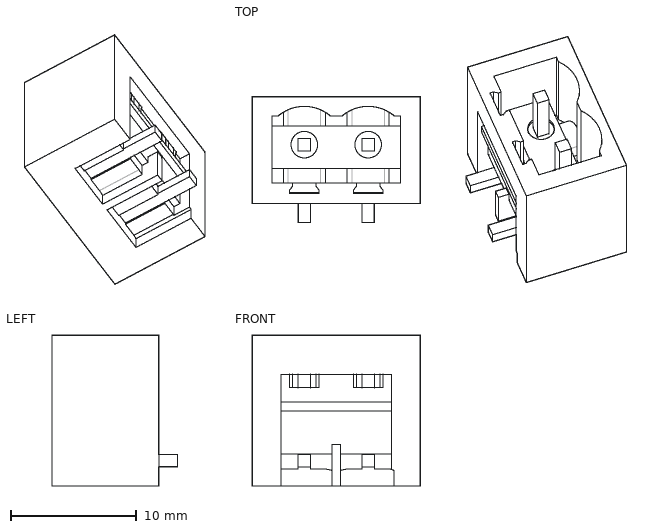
import cadquery as cq
import math


width = 13.36
depth = 8.51
height = 12.0

pitch = 5.08
pin_size = 1.0
pin_y = 4.69
pin_top = 11.09
pin_bottom = 1.52
overall_depth = 10.0
pin_reach = overall_depth - depth
pin_centers = [-pitch / 2, pitch / 2]

cavity_width = 10.22
cavity_front = 1.65
cavity_back = 6.96
scallop_radius = 3.19
scallop_back = 7.74
block_front = 2.79
block_back = 6.19
block_top = 6.68
trough_floor = 4.01

recess_radius = 1.05
recess_depth = 0.27

ridge_radius = 1.52
ridge_slope = math.radians(57)
ridge_foot_half = 1.67

slot_front = 0.8
slot_flare_front = 1.08
slot_flare_back = 1.42
slot_wide_half = 1.16
slot_neck_half = 0.92
slot_floor = 7.82

window_width = 8.75
window_top = 8.88
panel_face = 0.9
panel_bottom = 2.54
bar_bottom = 5.96
bar_top = 6.7
bar_face = 0.32
under_face = 1.47

rib_width = 0.65
rib_top = 3.31
pocket_top = 1.35
pocket_edge_drop = 0.11
pocket_slope_start = 1.75
pocket_right = 4.6
pocket_back = pin_y + pin_size / 2


def box(x0, x1, y0, y1, z0, z1):
    """Box between the given limits."""
    return cq.Workplane("XY").box(x1 - x0, y1 - y0, z1 - z0, centered=False).translate((x0, y0, z0))


def centered_box(box_width, y0, y1, z0, z1, x=0.0):
    """Box between the given Y and Z limits, centred on x."""
    return box(x - box_width / 2, x + box_width / 2, y0, y1, z0, z1)


def cavity_space():
    """Scalloped cavity down to the trough floor."""
    space = centered_box(cavity_width, cavity_front, cavity_back, trough_floor, height)
    for x in pin_centers:
        scallop = (
            cq.Workplane("XY", origin=(x, scallop_back - scallop_radius, trough_floor))
            .circle(scallop_radius)
            .extrude(height - trough_floor)
        )
        behind_cavity = centered_box(2 * scallop_radius, cavity_back, scallop_back, trough_floor, height, x)
        space = space.union(scallop.intersect(behind_cavity))
    return space


def trough_ridge(x):
    """Rounded ridge along Y whose straight flanks run tangent from its crown to the floor."""
    tangent_half = ridge_radius * math.sin(ridge_slope)
    flank_height = (ridge_foot_half - tangent_half) * math.tan(ridge_slope)
    crown = trough_floor + flank_height + ridge_radius * (1 - math.cos(ridge_slope))
    tangent_z = trough_floor + flank_height
    return (
        cq.Workplane("XZ", origin=(x, cavity_front, 0))
        .moveTo(-ridge_foot_half, trough_floor)
        .lineTo(-tangent_half, tangent_z)
        .threePointArc((0, crown), (tangent_half, tangent_z))
        .lineTo(ridge_foot_half, trough_floor)
        .close()
        .extrude(-(depth - cavity_front))
    )


def dovetail_slot(x):
    """Slot from the top of the front wall, wide at its front and necked into the cavity."""
    half_outline = [
        (slot_wide_half, slot_front),
        (slot_wide_half, slot_flare_front),
        (slot_neck_half, slot_flare_back),
        (slot_neck_half, cavity_front),
    ]
    mirrored = [(-px, py) for px, py in reversed(half_outline)]
    return (
        cq.Workplane("XY", origin=(x, 0, slot_floor))
        .polyline(half_outline + mirrored)
        .close()
        .extrude(height - slot_floor)
    )


def window_space():
    """Recess in the front face with a cross bar left standing, deeper below the panel."""
    space = centered_box(window_width, 0, panel_face, 0, window_top)
    space = space.cut(centered_box(window_width, bar_face, panel_face, bar_bottom, bar_top))
    return space.union(centered_box(window_width, 0, under_face, 0, panel_bottom))


def pocket_space():
    """Pocket under the block; its roof slopes down beside the rib and at the right end."""
    edge_z = pocket_top - pocket_edge_drop
    right_start = pitch / 2 + pocket_slope_start
    inner_start = pitch / 2 - pocket_slope_start
    outline = [
        (-window_width / 2, 0),
        (-window_width / 2, pocket_top),
        (-inner_start, pocket_top),
        (-rib_width / 2, edge_z),
        (rib_width / 2, edge_z),
        (inner_start, pocket_top),
        (right_start, pocket_top),
        (pocket_right, edge_z),
        (pocket_right, 0),
    ]
    return cq.Workplane("XZ").polyline(outline).close().extrude(-pocket_back)


def pin_channel(x):
    """Channel in the underside of the block, open below, that takes the tail of a pin."""
    return centered_box(pin_size, 0, pocket_back, 0, pin_bottom + pin_size, x)


def make_pin(x):
    """Right-angle pin of square section."""
    upright = centered_box(pin_size, pin_y - pin_size / 2, pin_y + pin_size / 2, pin_bottom, pin_top, x)
    tail = centered_box(pin_size, -pin_reach, pin_y, pin_bottom, pin_bottom + pin_size, x)
    return upright.union(tail)


def make_housing(pins):
    """Shell with its cavity, block, window, pocket and rib, fitted around the pins."""
    body = centered_box(width, 0, depth, 0, height).cut(cavity_space())
    body = body.union(centered_box(cavity_width, block_front, block_back, trough_floor, block_top))
    for x in pin_centers:
        ridge = trough_ridge(x).intersect(cavity_space())
        recess = (
            cq.Workplane("XY", origin=(x, pin_y, block_top)).circle(recess_radius).extrude(-recess_depth)
        )
        body = body.union(ridge).cut(recess).cut(dovetail_slot(x))
    body = body.cut(window_space()).cut(pocket_space())
    body = body.union(centered_box(rib_width, 0, under_face, 0, rib_top))
    body = body.union(centered_box(rib_width, 0, pocket_back, 0, pocket_top))
    for x in pin_centers:
        body = body.cut(pin_channel(x))
    for pin in pins:
        body = body.cut(pin)
    return body


pins = [make_pin(x) for x in pin_centers]
housing = make_housing(pins)

result = cq.Compound.makeCompound([housing.val(), *[pin.val() for pin in pins]])